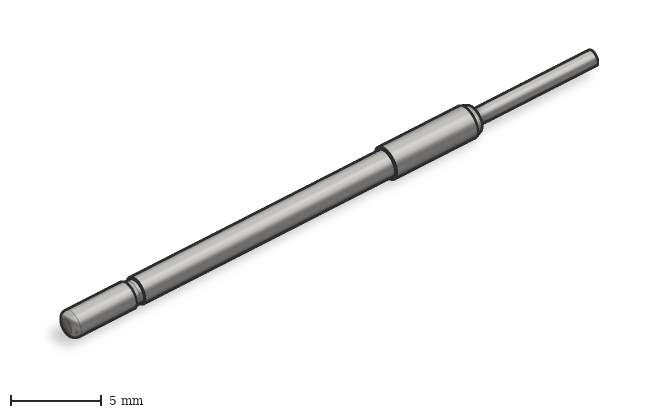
import cadquery as cq
import math

total_length = 36.3
pin_length = 8.25
collar_length = 6.03
collar_chamfer_length = 0.45
nose_length = 4.2
groove_floor_length = 0.25
groove_runout_length = 0.33

pin_diameter = 0.98
collar_diameter = 2.0
collar_end_diameter = 1.65
body_diameter = 1.67
groove_diameter = 1.45
tip_flat_diameter = 0.9

pin_radius = pin_diameter / 2
collar_radius = collar_diameter / 2
collar_end_radius = collar_end_diameter / 2
body_radius = body_diameter / 2
groove_radius = groove_diameter / 2
tip_flat_radius = tip_flat_diameter / 2
tip_round_radius = body_radius - tip_flat_radius
tip_round_diagonal = tip_round_radius * math.sqrt(0.5)

front_y = -total_length / 2
back_y = total_length / 2
groove_front_y = front_y + nose_length
groove_floor_y = groove_front_y + groove_runout_length
groove_back_y = groove_floor_y + groove_floor_length
collar_back_y = back_y - pin_length
collar_front_y = collar_back_y - collar_length
tip_round_y = front_y + tip_round_radius

groove_depth = body_radius - groove_radius
runout_radius = (groove_runout_length**2 + groove_depth**2) / (2 * groove_depth)
runout_mid_y = groove_floor_y - groove_runout_length / 2
runout_mid_radius = (
    groove_radius + runout_radius - math.sqrt(runout_radius**2 - (groove_runout_length / 2) ** 2)
)

profile = (
    cq.Workplane("XY")
    .moveTo(0, front_y)
    .lineTo(tip_flat_radius, front_y)
    .threePointArc(
        (tip_flat_radius + tip_round_diagonal, tip_round_y - tip_round_diagonal),
        (body_radius, tip_round_y),
    )
    .lineTo(body_radius, groove_front_y)
    .threePointArc((runout_mid_radius, runout_mid_y), (groove_radius, groove_floor_y))
    .lineTo(groove_radius, groove_back_y)
    .lineTo(body_radius, groove_back_y)
    .lineTo(body_radius, collar_front_y)
    .lineTo(collar_radius, collar_front_y)
    .lineTo(collar_radius, collar_back_y - collar_chamfer_length)
    .lineTo(collar_end_radius, collar_back_y)
    .lineTo(pin_radius, collar_back_y)
    .lineTo(pin_radius, back_y)
    .lineTo(0, back_y)
    .close()
)

result = profile.revolve(360, (0, 0, 0), (0, 1, 0))